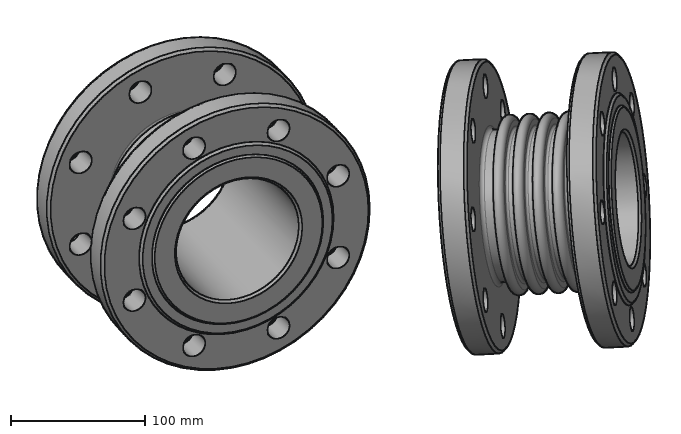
import cadquery as cq
import math


total_length = 128.0
bore_diameter = 100.0
bore_chamfer = 2.0
tube_diameter = 114.0

flange_diameter = 220
flange_thickness = 22.2
flange_chamfer = 2.2
flange_root_fillet = 3.3
lower_step_diameter = 158.8
lower_step_height = 2.2
lower_step_chamfer = 2.0
upper_step_diameter = 140.0
upper_step_height = 1.8
upper_step_chamfer = 1.5

bolt_count = 8
bolt_hole_diameter = 18.0
bolt_circle_diameter = 180.0

ridge_count = 4
ridge_pitch = 15.0
ridge_diameter = 135.0
ridge_width = 8.1
ridge_foot_fillet = 2.0

end_x = total_length / 2
lower_step_x = end_x - upper_step_height
flange_outer_x = lower_step_x - lower_step_height
flange_inner_x = flange_outer_x - flange_thickness
tube_radius = tube_diameter / 2


def disc(diameter, x_start, length):
    """Solid cylinder along X."""
    return cq.Workplane("YZ", origin=(x_start, 0, 0)).circle(diameter / 2).extrude(length)


def make_flange():
    """Flange at the +X end, with chamfered rim and raised steps."""
    rim = disc(flange_diameter, flange_inner_x, flange_thickness).edges().chamfer(flange_chamfer)
    lower_step = disc(lower_step_diameter, flange_outer_x, lower_step_height)
    lower_step = lower_step.faces(">X").edges().chamfer(lower_step_chamfer)
    upper_step = disc(upper_step_diameter, lower_step_x, upper_step_height)
    upper_step = upper_step.faces(">X").edges().chamfer(upper_step_chamfer)
    return rim.union(lower_step).union(upper_step)


def add_arc(profile, center, radius, start_angle, end_angle):
    """Add an arc about center, given its start and end angles in degrees."""
    middle, end = [
        (
            center[0] + radius * math.cos(math.radians(angle)),
            center[1] + radius * math.sin(math.radians(angle)),
        )
        for angle in ((start_angle + end_angle) / 2, end_angle)
    ]
    return profile.threePointArc(middle, end)


def make_bellows():
    """Tube revolved about X, with round-topped ridges and filleted roots."""
    half_width = ridge_width / 2
    ridge_radius = ridge_diameter / 2
    shoulder_radius = ridge_radius - half_width
    foot_center_radius = tube_radius + ridge_foot_fillet
    foot_offset = half_width + ridge_foot_fillet
    root_center_x = flange_inner_x - flange_root_fillet
    root_center_radius = tube_radius + flange_root_fillet

    profile = cq.Workplane("XY").moveTo(-flange_inner_x, 0).lineTo(-flange_inner_x, root_center_radius)
    profile = add_arc(profile, (-root_center_x, root_center_radius), flange_root_fillet, 180, 270)
    for index in range(ridge_count):
        x = (index - (ridge_count - 1) / 2) * ridge_pitch
        profile = profile.lineTo(x - foot_offset, tube_radius)
        profile = add_arc(profile, (x - foot_offset, foot_center_radius), ridge_foot_fillet, -90, 0)
        profile = profile.lineTo(x - half_width, shoulder_radius)
        profile = profile.threePointArc((x, ridge_radius), (x + half_width, shoulder_radius))
        profile = profile.lineTo(x + half_width, foot_center_radius)
        profile = add_arc(profile, (x + foot_offset, foot_center_radius), ridge_foot_fillet, 180, 270)
    profile = profile.lineTo(root_center_x, tube_radius)
    profile = add_arc(profile, (root_center_x, root_center_radius), flange_root_fillet, -90, 0)
    return profile.lineTo(flange_inner_x, 0).close().revolve(360, (0, 0, 0), (1, 0, 0))


flange = make_flange()
body = make_bellows().union(flange).union(flange.mirror("YZ"))

body = body.cut(disc(bore_diameter, -end_x, total_length))
bore_mouths = cq.selectors.RadiusNthSelector(0)
body = body.faces("<X or >X").edges(bore_mouths).chamfer(bore_chamfer)

half_bolt_spacing = 180 / bolt_count
bolt_holes = (
    cq.Workplane("YZ", origin=(-end_x, 0, 0))
    .polarArray(bolt_circle_diameter / 2, half_bolt_spacing, 360, bolt_count)
    .circle(bolt_hole_diameter / 2)
    .extrude(total_length)
)

result = body.cut(bolt_holes)